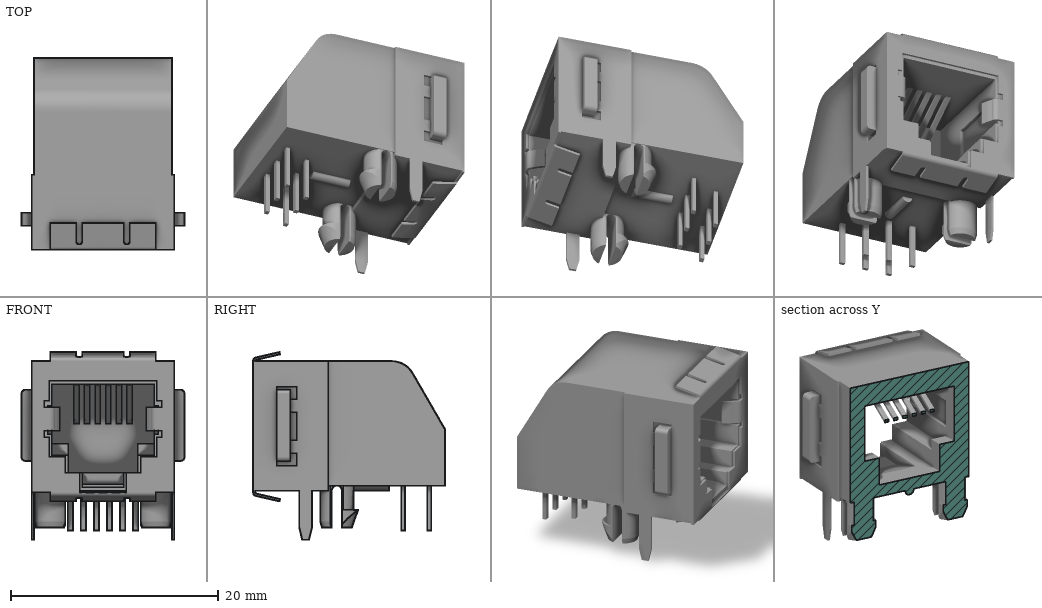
import cadquery as cq
import math


length = 18.54
front_width = 13.8
front_length = 7.27
height = 12.55
rear_width = 13.33
rear_floor = 0.5
rear_wall_top = 5.97
slope_angle = 60.0
slope_radius = 2.35

sheet = 0.25
plate_drop = 0.139

opening_half = 5.2
opening_top = 10.65
opening_shoulder = 3.32
neck_half = 3.63
cavity_floor = 1.76
slot_half = 2.22
notch_half = 5.67
notch_top = 8.73
notch_bottom = 5.2
spring_top = 8.1
spring_bottom = 5.84

cavity_half = 4.97
cavity_top = 10.29
cavity_end = 12.05
ledge_half = 3.34
ledge_height = 3.45
stop_height = 4.58
stop_start = 7.79
groove_half = 5.32
groove_top = 8.25
groove_bottom = 5.49

trough_half = 2.0
trough_lip = 0.35
trough_floor = 0.63
trough_floor_start = 1.15
trough_floor_end = 3.34
trough_end = 7.05

contact_count = 6
contact_pitch = 1.02
contact_width = 0.52
contact_thickness = 0.39
contact_tip_height = 6.49
contact_start = 5.47

finger_bend_mid_half = 4.93
finger_bend_mid_depth = 0.22
finger_bend_half = 4.69
finger_bend_depth = 0.33
finger_mid_half = 4.41
finger_mid_depth = 0.93
finger_tip_half = 4.15
finger_tip_depth = 1.67

clip_half = 5.12
clip_rise = 0.87
clip_angle = 13.0
clip_bend_radius = 0.35
clip_slot_width = 0.57
clip_slot_x = 2.3
upper_clip_slot_end = 0.54
lower_clip_slot_end = 1.11

tab_half = 7.88
tab_start = 2.32
tab_end = 3.62
tab_bottom = 2.9
tab_top = 9.79
tab_radius = 0.4
window_end = 4.25
window_bottom = 2.45
window_top = 10.07
tongue_height = 1.28
tongue_spacing = 3.95

leg_start = 4.45
leg_width = 1.26
leg_bottom = -4.73
leg_taper_height = 1.22
leg_tip_width = 0.67

peg_x = 5.12
peg_y = 8.1
peg_radius = 1.61
peg_flat_half = 1.48
peg_bottom = -3.55
peg_chamfer_height = 0.57
peg_chamfer_inset = 0.17
peg_slot_width = 0.96
peg_slot_spring_line = 0.04
barb_reach = 2.05
barb_top = -1.84

pin_count = 6
pin_pitch = 1.26
pin_width = 0.52
pin_thickness = 0.39
pin_bottom = -3.82
pin_rows = (17.02, 14.5)

rail_start = 9.27
rail_end = 13.15


def box(x0, x1, y0, y1, z0, z1):
    """Axis-aligned block between two opposite corners."""
    return cq.Workplane("XY").box(x1 - x0, y1 - y0, z1 - z0, centered=False).translate((x0, y0, z0))


def sym_box(half, y0, y1, z0, z1):
    """Block centred on the x = 0 plane."""
    return box(-half, half, y0, y1, z0, z1)


def extrude_x(profile, half):
    """Extrude a (y, z) profile symmetrically about x = 0."""
    return profile.extrude(half, both=True)


def both_sides(solid):
    """The solid together with its mirror image across x = 0."""
    return solid.union(solid.mirror("YZ"))


def make_housing():
    slope_run = (height - rear_wall_top) / math.tan(math.radians(slope_angle))
    rear = extrude_x(
        cq.Workplane("YZ")
        .moveTo(front_length - sheet, rear_floor)
        .lineTo(length, rear_floor)
        .lineTo(length, rear_wall_top)
        .lineTo(length - slope_run, height)
        .lineTo(front_length - sheet, height)
        .close(),
        rear_width / 2,
    )
    rear = rear.edges(cq.NearestToPointSelector((0, length - slope_run, height))).fillet(slope_radius)
    front = sym_box(front_width / 2, 0, front_length, 0, height)
    plate = sym_box(front_width / 2, 0, sheet, -plate_drop, height)
    return front.union(rear).union(plate)


def make_plate_opening():
    cut = sym_box(opening_half, 0, sheet, opening_shoulder, opening_top)
    cut = cut.union(sym_box(neck_half, 0, sheet, cavity_floor, opening_top))
    cut = cut.union(sym_box(slot_half, 0, sheet, -plate_drop, opening_top))
    cut = cut.union(sym_box(notch_half, 0, sheet, spring_top, notch_top))
    return cut.union(sym_box(notch_half, 0, sheet, notch_bottom, spring_bottom))


def make_cavity():
    cut = sym_box(ledge_half, sheet, cavity_end, cavity_floor, cavity_top)
    cut = cut.union(sym_box(cavity_half, sheet, cavity_end, stop_height, cavity_top))
    cut = cut.union(sym_box(cavity_half, sheet, stop_start, ledge_height, cavity_top))
    cut = cut.union(sym_box(groove_half, sheet, stop_start, groove_bottom, groove_top))
    trough = extrude_x(
        cq.Workplane("YZ")
        .moveTo(sheet, trough_lip)
        .lineTo(trough_floor_start, trough_floor)
        .lineTo(trough_floor_end, trough_floor)
        .lineTo(trough_end, cavity_floor)
        .lineTo(sheet, cavity_floor)
        .close(),
        trough_half,
    )
    return cut.union(trough)


def make_contacts():
    """Contacts that slope down from the cavity ceiling to its end wall."""
    contact = (
        cq.Workplane("YZ")
        .moveTo(contact_start, cavity_top)
        .lineTo(cavity_end, contact_tip_height)
        .lineTo(cavity_end, contact_tip_height + contact_thickness)
        .lineTo(contact_start + contact_thickness, cavity_top)
        .close()
        .extrude(contact_width / 2, both=True)
    )
    first_x = -contact_pitch * (contact_count - 1) / 2
    contacts = cq.Workplane("XY")
    for i in range(contact_count):
        contacts = contacts.add(contact.translate((first_x + i * contact_pitch, 0, 0)))
    return contacts.combine()


def make_fingers():
    """Spring fingers folded from the plate edges into the opening."""
    half_sheet = sheet / 2
    bend_end = (finger_bend_half + half_sheet, finger_bend_depth + half_sheet)
    finger = (
        cq.Workplane("XY")
        .moveTo(opening_half, half_sheet)
        .threePointArc((finger_bend_mid_half, finger_bend_mid_depth), bend_end)
        .lineTo(finger_mid_half + half_sheet, finger_mid_depth)
        .lineTo(finger_tip_half + half_sheet, finger_tip_depth - half_sheet)
        .wire()
        .offset2D(half_sheet)
        .extrude(spring_top - spring_bottom)
        .translate((0, 0, spring_bottom))
    )
    return both_sides(finger)


def make_clip(slot_end):
    """Slotted clip that rises from z = 0 and leans back over the housing."""
    lean = math.radians(clip_angle)
    mid_turn = math.radians(90 - clip_angle) / 2
    inner_radius = clip_bend_radius - sheet
    reach = (clip_rise - clip_bend_radius * math.cos(lean)) / math.sin(lean)

    def bend_point(radius, turn):
        return clip_bend_radius - radius * math.cos(turn), radius * math.sin(turn)

    def tip_point(radius):
        y, z = bend_point(radius, 2 * mid_turn)
        return y + reach * math.cos(lean), z + reach * math.sin(lean)

    strip = extrude_x(
        cq.Workplane("YZ")
        .moveTo(0, 0)
        .threePointArc(bend_point(clip_bend_radius, mid_turn), bend_point(clip_bend_radius, 2 * mid_turn))
        .lineTo(*tip_point(clip_bend_radius))
        .lineTo(*tip_point(inner_radius))
        .lineTo(*bend_point(inner_radius, 2 * mid_turn))
        .threePointArc(bend_point(inner_radius, mid_turn), (sheet, 0))
        .close(),
        clip_half,
    )
    slot_radius = clip_slot_width / 2
    for x in (-clip_slot_x, clip_slot_x):
        slot = box(x - slot_radius, x + slot_radius, slot_end + slot_radius, front_length, 0, clip_rise)
        slot_tip = (
            cq.Workplane("XY")
            .center(x, slot_end + slot_radius)
            .circle(slot_radius)
            .extrude(clip_rise)
        )
        strip = strip.cut(slot.union(slot_tip))
    return strip


def make_windows():
    """Shallow windows in the shield sides, with two tongues behind each tab."""
    inner = front_width / 2 - sheet
    outer = front_width / 2
    window = box(inner, outer, tab_start, window_end, window_bottom, window_top)
    middle = (window_bottom + window_top) / 2
    for side in (-1, 1):
        tongue_z = middle + side * tongue_spacing / 2 - tongue_height / 2
        window = window.cut(box(inner, outer, tab_end, window_end, tongue_z, tongue_z + tongue_height))
    return both_sides(window)


def make_tabs():
    inner = front_width / 2 - sheet
    tab = box(inner, tab_half, tab_start, tab_end, tab_bottom, tab_top)
    return both_sides(tab.edges(">X and |Y").fillet(tab_radius))


def make_legs():
    middle = leg_start + leg_width / 2
    taper_z = leg_bottom + leg_taper_height
    leg = (
        cq.Workplane("YZ")
        .moveTo(leg_start, sheet)
        .lineTo(leg_start, taper_z)
        .lineTo(middle - leg_tip_width / 2, leg_bottom)
        .lineTo(middle + leg_tip_width / 2, leg_bottom)
        .lineTo(leg_start + leg_width, taper_z)
        .lineTo(leg_start + leg_width, sheet)
        .close()
        .extrude(sheet)
        .translate((front_width / 2 - sheet, 0, 0))
    )
    return both_sides(leg)


def make_pegs():
    """Split snap-in pegs with flattened sides and a tapered elliptical barb at the rear."""
    flat_y = math.sqrt(peg_radius**2 - peg_flat_half**2)
    shaft = (
        cq.Workplane("XY")
        .workplane(offset=peg_bottom + peg_chamfer_height)
        .moveTo(-peg_flat_half, -flat_y)
        .threePointArc((0, -peg_radius), (peg_flat_half, -flat_y))
        .lineTo(peg_flat_half, flat_y)
        .threePointArc((0, peg_radius), (-peg_flat_half, flat_y))
        .close()
        .extrude(rear_floor - peg_bottom - peg_chamfer_height)
    )
    chamfer_angle = math.degrees(math.atan2(peg_chamfer_inset, peg_chamfer_height))
    peg = shaft.faces("<Z").wires().toPending().extrude(-peg_chamfer_height, taper=chamfer_angle)
    barb = (
        cq.Workplane("XZ")
        .moveTo(0, peg_bottom)
        .lineTo(peg_radius - peg_chamfer_inset, peg_bottom)
        .lineTo(barb_reach, barb_top)
        .lineTo(0, barb_top)
        .close()
        .revolve(360, (0, 0, 0), (0, 1, 0))
    )
    barb_outline = (
        cq.Workplane("XY")
        .workplane(offset=peg_bottom)
        .center(0, flat_y)
        .ellipse(peg_flat_half, barb_reach - flat_y)
        .extrude(barb_top - peg_bottom)
        .union(sym_box(peg_flat_half, 0, flat_y, peg_bottom, barb_top))
    )
    rear_half = sym_box(peg_flat_half, 0, barb_reach, peg_bottom, rear_floor)
    peg = peg.union(barb.intersect(barb_outline).intersect(rear_half))
    slot_half_width = peg_slot_width / 2
    slot = extrude_x(
        cq.Workplane("YZ")
        .moveTo(-slot_half_width, peg_bottom)
        .lineTo(-slot_half_width, peg_slot_spring_line)
        .threePointArc((0, peg_slot_spring_line + slot_half_width), (slot_half_width, peg_slot_spring_line))
        .lineTo(slot_half_width, peg_bottom)
        .close(),
        barb_reach,
    )
    return both_sides(peg.cut(slot).translate((peg_x, peg_y, 0)))


def make_pins():
    """Solder pins alternating between two rows."""
    pins = cq.Workplane("XY")
    for i in range(pin_count):
        x = (i - (pin_count - 1) / 2) * pin_pitch
        y = pin_rows[i % len(pin_rows)]
        pin = sym_box(pin_width / 2, -pin_thickness / 2, pin_thickness / 2, pin_bottom, rear_floor + sheet)
        pins = pins.add(pin.translate((x, y, 0)))
    return pins.combine()


def make_rail():
    return (
        cq.Workplane("XZ")
        .center(0, rear_floor)
        .circle(rear_floor)
        .extrude(rail_start - rail_end)
        .translate((0, rail_start, 0))
    )


result = make_housing().cut(make_plate_opening()).cut(make_cavity()).cut(make_windows())
upper_clip = make_clip(upper_clip_slot_end)
lower_clip = make_clip(lower_clip_slot_end).mirror("XY")
for feature in (
    make_contacts(),
    make_fingers(),
    upper_clip.translate((0, 0, height)),
    lower_clip.translate((0, 0, -plate_drop)),
    make_tabs(),
    make_legs(),
    make_pegs(),
    make_pins(),
    make_rail(),
):
    result = result.union(feature)